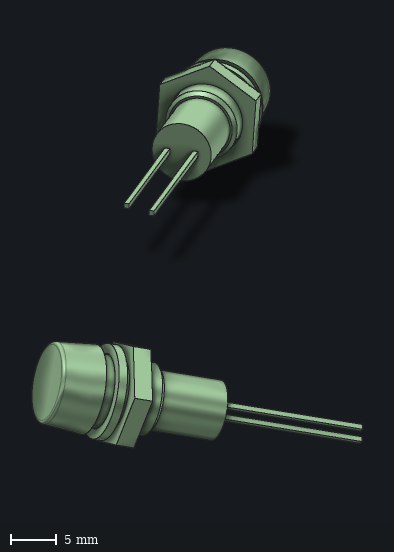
import cadquery as cq
import math


cap_length = 4.95
cap_end_diameter = 9.1
cap_seat_diameter = 10.0
cap_fillet = 0.4

barrel_diameter = 8.1
barrel_end = 12.35
chamfer_length = 0.4
chamfer_end_diameter = 7.2
sleeve_diameter = 6.7
sleeve_end = 19.95

lead_width = 0.6
lead_spacing = 3.18
long_lead_length = 17.79
lead_length_difference = 1.27

ring_bore_diameter = 8.3
washer_diameter = 10.6
washer_start = 6.3
washer_thickness = 1.0
nut_corner_diameter = 12.6
nut_start = 8.0
nut_thickness = 2.1
nut_turn = 3.8


def section_at(distance):
    """Sketch plane square to the axis, at a distance behind the cap's end face, facing -Y."""
    return cq.Workplane("XZ", origin=(0, -distance, 0))


def make_turned_body():
    """Cap, barrel and rear sleeve, as one half profile turned about the Y axis."""
    profile = (
        cq.Workplane("XY")
        .moveTo(0, 0)
        .lineTo(cap_end_diameter / 2, 0)
        .lineTo(cap_seat_diameter / 2, -cap_length)
        .lineTo(barrel_diameter / 2, -cap_length)
        .lineTo(barrel_diameter / 2, -(barrel_end - chamfer_length))
        .lineTo(chamfer_end_diameter / 2, -barrel_end)
        .lineTo(sleeve_diameter / 2, -barrel_end)
        .lineTo(sleeve_diameter / 2, -sleeve_end)
        .lineTo(0, -sleeve_end)
        .close()
    )
    turned = profile.revolve(360, (0, 0, 0), (0, 1, 0))
    return turned.faces(">Y").edges().fillet(cap_fillet)


def make_lead(x, length):
    """Square lead standing on the end of the sleeve."""
    return section_at(sleeve_end).center(x, 0).rect(lead_width, lead_width).extrude(length)


def make_lamp():
    """Lamp housing with its two leads."""
    short_lead_length = long_lead_length - lead_length_difference
    lamp = make_turned_body()
    for side, length in ((-1, short_lead_length), (1, long_lead_length)):
        lamp = lamp.union(make_lead(side * lead_spacing / 2, length))
    return lamp


def make_washer():
    """Plain flat ring."""
    return (
        section_at(washer_start)
        .circle(washer_diameter / 2)
        .circle(ring_bore_diameter / 2)
        .extrude(washer_thickness)
    )


def make_nut():
    """Hexagon nut with a plain bore, turned slightly about the axis."""
    first_corner_angle = math.radians(90 - nut_turn)
    corners = []
    for index in range(6):
        angle = first_corner_angle + index * math.pi / 3
        radius = nut_corner_diameter / 2
        corners.append((radius * math.cos(angle), radius * math.sin(angle)))
    return (
        section_at(nut_start)
        .polyline(corners)
        .close()
        .circle(ring_bore_diameter / 2)
        .extrude(nut_thickness)
    )


lamp = make_lamp()
washer = make_washer()
nut = make_nut()

result = cq.Compound.makeCompound([lamp.val(), washer.val(), nut.val()])